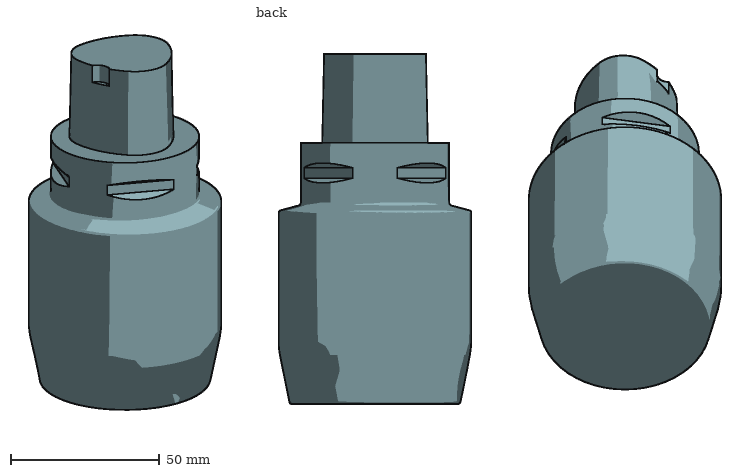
import cadquery as cq
import math

TOTAL_HEIGHT = 118
BODY_RADIUS = 65.0 / 2
COLLAR_RADIUS = 50.0 / 2
COLLAR_TOP = 88.0
SHOULDER_EDGE_Z = 65.1
SHOULDER_SLOPE = 15
EDGE_ROUND = 1.0

WALL_END_Z = 21.0
NOSE_ARC_RADIUS = 22.4
NOSE_ANGLE = 11.4

SHANK_LOBE_REACH = 18.8
SHANK_FLANK_REACH = 16.4
LOBE_RADIUS = 11.9
SHANK_TAPER = 1.2

KEYWAY_RADIUS = 4.0
KEYWAY_CENTER_Y = -17.8
KEYWAY_DEPTH = 6.0

GROOVE_COUNT = 4
GROOVE_Z = 77.9
GROOVE_FLOOR_DISTANCE = 22.2
GROOVE_FLOOR_WIDTH = 3.4
GROOVE_SIDE_SLOPE = 30

SELECTION_MARGIN = 0.1


def polar(radius, degrees):
    angle = math.radians(degrees)
    return radius * math.cos(angle), radius * math.sin(angle)


def circle_box(radius, z):
    """Select edges that lie wholly within a thin box around a horizontal circle."""
    reach = radius + SELECTION_MARGIN
    low_corner = (-reach, -reach, z - SELECTION_MARGIN)
    high_corner = (reach, reach, z + SELECTION_MARGIN)
    return cq.selectors.BoxSelector(low_corner, high_corner, boundingbox=True)


def make_body():
    """Revolve the collar, shoulder, cylinder and rounded conical lower end."""
    shoulder_rise = (BODY_RADIUS - COLLAR_RADIUS) * math.tan(math.radians(SHOULDER_SLOPE))
    arc_center_x = BODY_RADIUS - NOSE_ARC_RADIUS

    def nose_arc_point(degrees):
        x, z = polar(NOSE_ARC_RADIUS, -degrees)
        return arc_center_x + x, WALL_END_Z + z

    cone_start = nose_arc_point(NOSE_ANGLE)
    bottom_radius = cone_start[0] - cone_start[1] * math.tan(math.radians(NOSE_ANGLE))
    body = (
        cq.Workplane("XZ")
        .moveTo(0, 0)
        .lineTo(bottom_radius, 0)
        .lineTo(*cone_start)
        .threePointArc(nose_arc_point(NOSE_ANGLE / 2), (BODY_RADIUS, WALL_END_Z))
        .lineTo(BODY_RADIUS, SHOULDER_EDGE_Z)
        .lineTo(COLLAR_RADIUS, SHOULDER_EDGE_Z + shoulder_rise)
        .lineTo(COLLAR_RADIUS, COLLAR_TOP)
        .lineTo(0, COLLAR_TOP)
        .close()
        .revolve(360, (0, 0, 0), (0, 1, 0))
    )
    root_z = SHOULDER_EDGE_Z + shoulder_rise
    for radius, z in [(bottom_radius, 0), (BODY_RADIUS, SHOULDER_EDGE_Z), (COLLAR_RADIUS, root_z)]:
        body = body.edges(circle_box(radius, z)).fillet(EDGE_ROUND)
    return body


def make_shank():
    """Extrude three lobes joined by tangent flank arcs; one lobe points to +Y."""
    lobe_offset = SHANK_LOBE_REACH - LOBE_RADIUS
    lobe_x, lobe_y = polar(lobe_offset, 30)
    reach_difference = SHANK_FLANK_REACH - lobe_y
    square_difference = lobe_x**2 + reach_difference**2 - LOBE_RADIUS**2
    flank_radius = square_difference / (2 * (reach_difference - LOBE_RADIUS))
    flank_offset = flank_radius - SHANK_FLANK_REACH
    joint_angle = math.degrees(math.atan2(lobe_x, lobe_y + flank_offset))

    def flank_joint(flank_direction, side):
        center_x, center_y = polar(flank_offset, flank_direction + 180)
        x, y = polar(flank_radius, flank_direction + side * joint_angle)
        return center_x + x, center_y + y

    flank_directions = [-90, 30, 150]
    outline = cq.Workplane("XY", origin=(0, 0, COLLAR_TOP))
    outline = outline.moveTo(*flank_joint(flank_directions[0], -1))
    for direction in flank_directions:
        outline = outline.threePointArc(polar(SHANK_FLANK_REACH, direction), flank_joint(direction, 1))
        outline = outline.threePointArc(
            polar(SHANK_LOBE_REACH, direction + 60), flank_joint(direction + 120, -1)
        )
    return outline.close().extrude(TOTAL_HEIGHT - COLLAR_TOP, taper=SHANK_TAPER)


def make_keyway():
    return (
        cq.Workplane("XY", origin=(0, KEYWAY_CENTER_Y, TOTAL_HEIGHT - KEYWAY_DEPTH))
        .circle(KEYWAY_RADIUS)
        .extrude(KEYWAY_DEPTH)
    )


def make_groove():
    """Straight trapezoidal cutter on the +X side, running along Y."""
    floor_half = GROOVE_FLOOR_WIDTH / 2
    cut_depth = BODY_RADIUS - GROOVE_FLOOR_DISTANCE
    mouth_half = floor_half + cut_depth * math.tan(math.radians(GROOVE_SIDE_SLOPE))
    return (
        cq.Workplane("XZ")
        .polyline([
            (GROOVE_FLOOR_DISTANCE, GROOVE_Z - floor_half),
            (BODY_RADIUS, GROOVE_Z - mouth_half),
            (BODY_RADIUS, GROOVE_Z + mouth_half),
            (GROOVE_FLOOR_DISTANCE, GROOVE_Z + floor_half),
        ])
        .close()
        .extrude(COLLAR_RADIUS, both=True)
    )


result = make_body().union(make_shank()).cut(make_keyway())
groove = make_groove()
for index in range(GROOVE_COUNT):
    turn = (index + 0.5) * 360 / GROOVE_COUNT
    result = result.cut(groove.rotate((0, 0, 0), (0, 0, 1), turn))